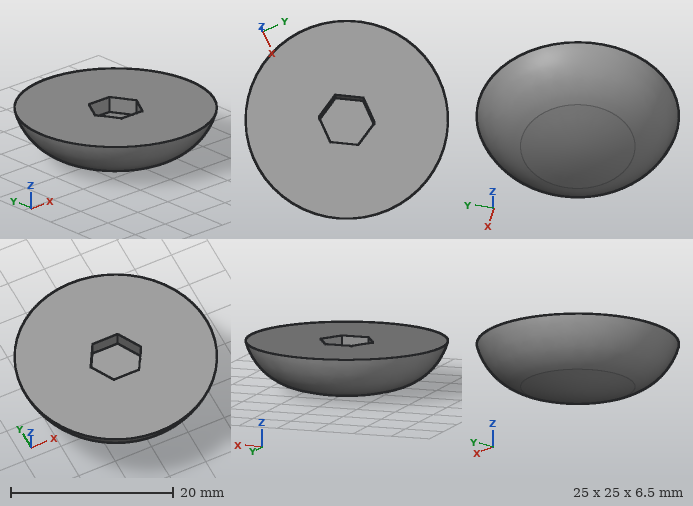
import cadquery as cq
import math

rim_radius = 12.5
height = 6.5

crown_radius = 25.0
shoulder_radius = 8.0
crown_centre_z = crown_radius - height

hex_sides = 6
hex_across_flats = 6.0
hex_depth = 2.0


def find_shoulder_centre():
    """Centre (radius, Z) of the arc through the rim edge that is tangent inside the crown arc."""
    centre_gap = crown_radius - shoulder_radius
    rim_to_crown = math.hypot(rim_radius, crown_centre_z)
    along = (shoulder_radius**2 - centre_gap**2 + rim_to_crown**2) / (2 * rim_to_crown)
    across = math.sqrt(shoulder_radius**2 - along**2)
    unit_r = -rim_radius / rim_to_crown
    unit_z = crown_centre_z / rim_to_crown
    return (
        rim_radius + along * unit_r - across * unit_z,
        along * unit_z + across * unit_r,
    )


def arc_point(centre, radius, angle):
    """Point on an arc, with the angle measured from straight down towards the rim."""
    centre_r, centre_z = centre
    return (centre_r + radius * math.sin(angle), centre_z - radius * math.cos(angle))


def make_dome():
    """Solid of revolution: flat top, rounded shoulder, shallow crown."""
    crown_centre = (0, crown_centre_z)
    shoulder_centre = find_shoulder_centre()
    shoulder_r, shoulder_z = shoulder_centre
    blend_angle = math.atan2(shoulder_r, crown_centre_z - shoulder_z)
    rim_angle = math.atan2(rim_radius - shoulder_r, shoulder_z)

    blend_point = arc_point(crown_centre, crown_radius, blend_angle)
    crown_middle = arc_point(crown_centre, crown_radius, blend_angle / 2)
    shoulder_middle = arc_point(shoulder_centre, shoulder_radius, (blend_angle + rim_angle) / 2)
    return (
        cq.Workplane("XZ")
        .lineTo(rim_radius, 0)
        .threePointArc(shoulder_middle, blend_point)
        .threePointArc(crown_middle, (0, -height))
        .close()
        .revolve(360, (0, 0), (0, 1))
    )


def make_hex_socket():
    """Cutter for the blind hexagon, with two corners on the X axis."""
    across_corners = hex_across_flats / math.cos(math.pi / hex_sides)
    return cq.Workplane("XY").polygon(hex_sides, across_corners).extrude(-hex_depth)


result = make_dome().cut(make_hex_socket())